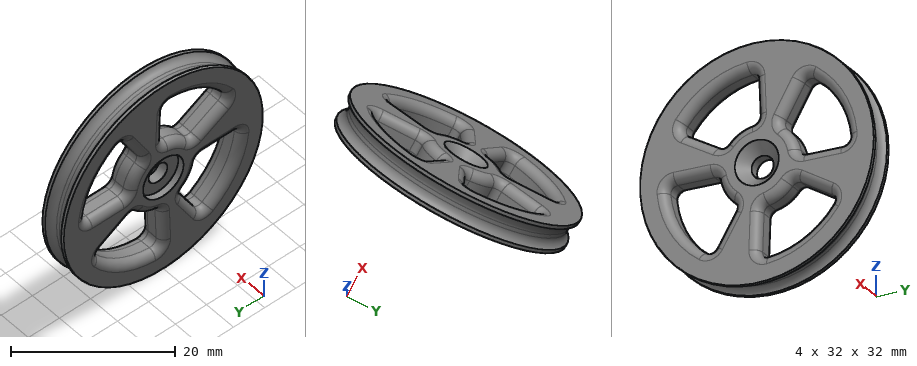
import cadquery as cq
import math

wheel_diameter = 32.0
wheel_width = 4.0

groove_floor_diameter = 30.5
groove_floor_width = 0.5
rim_land_width = 0.5

bore_diameter = 3.0
counterbore_diameter = 6.5
counterbore_depth = 1.0
countersink_depth = 1.5

window_inner_radius = 5.5
window_outer_radius = 12.5
window_corner_radius = 1.0
window_rim_fillet = 1.25

window_sides = [
    (87.7, 0.3, 29.7, -0.25),
    (180.0, -0.15, 119.6, -0.3),
    (0.0, -0.15, -59.4, 0.03),
    (-87.9, -0.55, -149.1, 0.0),
]

wheel_radius = wheel_diameter / 2
half_width = wheel_width / 2

outer_face = cq.Plane(origin=(-half_width, 0, 0), xDir=(0, -1, 0), normal=(-1, 0, 0))


def make_wheel():
    """Revolve the half section, groove included, about the X axis."""
    floor_radius = groove_floor_diameter / 2
    floor_edge = groove_floor_width / 2
    groove_edge = half_width - rim_land_width
    flank_width = groove_edge - floor_edge
    groove_depth = wheel_radius - floor_radius

    flank_radius = (flank_width**2 + groove_depth**2) / (2 * groove_depth)
    half_sweep = math.asin(flank_width / flank_radius) / 2
    mid_x = floor_edge + flank_radius * math.sin(half_sweep)
    mid_radius = floor_radius + flank_radius * (1 - math.cos(half_sweep))

    section = (
        cq.Workplane("XY")
        .moveTo(-half_width, 0)
        .lineTo(-half_width, wheel_radius)
        .lineTo(-groove_edge, wheel_radius)
        .threePointArc((-mid_x, mid_radius), (-floor_edge, floor_radius))
        .lineTo(floor_edge, floor_radius)
        .threePointArc((mid_x, mid_radius), (groove_edge, wheel_radius))
        .lineTo(half_width, wheel_radius)
        .lineTo(half_width, 0)
        .close()
    )
    return section.revolve(360, (0, 0, 0), (1, 0, 0))


def make_window(leading_angle, leading_offset, trailing_angle, trailing_offset):
    """Ring sector between two straight sides, with rounded corners, through the full width."""
    lead = math.radians(leading_angle)
    trail = math.radians(trailing_angle)
    opening = lead - trail

    apex_distance = -(trailing_offset + leading_offset * math.cos(opening)) / math.sin(opening)
    reach = wheel_diameter

    def lead_point(distance):
        return (
            distance * math.cos(lead) - leading_offset * math.sin(lead),
            distance * math.sin(lead) + leading_offset * math.cos(lead),
        )

    apex = lead_point(apex_distance)
    trail_end = (
        reach * math.cos(trail) + trailing_offset * math.sin(trail),
        reach * math.sin(trail) - trailing_offset * math.cos(trail),
    )
    wedge = (
        cq.Workplane(outer_face)
        .polyline([apex, trail_end, lead_point(reach)])
        .close()
        .extrude(-wheel_width)
    )
    ring = (
        cq.Workplane(outer_face)
        .circle(window_outer_radius)
        .circle(window_inner_radius)
        .extrude(-wheel_width)
    )
    return ring.intersect(wedge).edges("|X").fillet(window_corner_radius)


def cut_windows(wheel):
    """Cut every window and round its rim on both faces."""
    for sides in window_sides:
        wheel = wheel.cut(make_window(*sides))
    rims = []
    for face in wheel.faces("<X or >X").vals():
        for wire in face.innerWires():
            rims.extend(wire.Edges())
    return wheel.newObject(rims).fillet(window_rim_fillet)


def cut_hub(wheel):
    """Bore the wheel along X, counterbore the -X face and countersink the +X face."""
    bore_radius = bore_diameter / 2
    bore = cq.Workplane(outer_face).circle(bore_radius).extrude(-wheel_width)
    counterbore = cq.Workplane(outer_face).circle(counterbore_diameter / 2).extrude(-counterbore_depth)

    countersink_start = half_width - countersink_depth
    countersink = (
        cq.Workplane("XY")
        .moveTo(countersink_start, 0)
        .lineTo(countersink_start, bore_radius)
        .lineTo(half_width, bore_radius + countersink_depth)
        .lineTo(half_width, 0)
        .close()
        .revolve(360, (0, 0, 0), (1, 0, 0))
    )
    return wheel.cut(bore).cut(counterbore).cut(countersink)


result = cut_hub(cut_windows(make_wheel()))